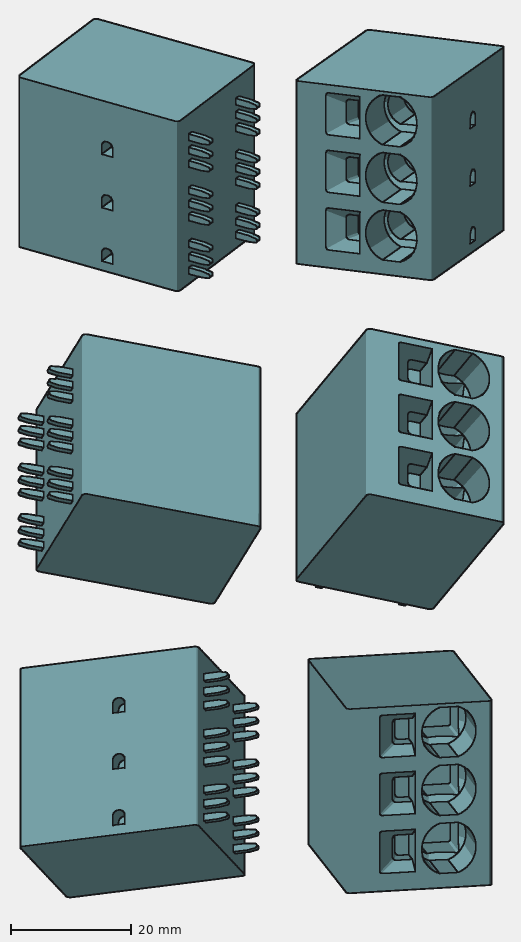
import cadquery as cq
import math

BODY_LENGTH = 31.3
BODY_WIDTH = 24.7
BODY_HEIGHT = 31.8
EDGE_RADIUS = 0.7

POLE_COUNT = 3
POLE_PITCH = 10.0
FIRST_POLE_Z = 5.0

OVERALL_LENGTH = 35.4
PINS_PER_POLE = 3
PIN_PITCH = 2.5
PIN_ROWS_Y = (3.8, 18.8)
PIN_HEIGHT = 1.2
PIN_THICKNESS = 1.0
PIN_TAPER_LENGTH = 1.6
PIN_TIP_LENGTH = 0.5
PIN_EMBED = 1.0
PIN_SHOULDER_HEIGHT = 0.85

BORE_OFFSET_Z = 1.85
BORE_Y = 7.4
BORE_RADIUS = 4.6
BORE_HEIGHT = 8.65
BORE_DEPTH = 8.0
CONE_END_RADIUS = 3.0
CONE_LENGTH = 1.2
SOCKET_DEPTH = 15.0
SOCKET_ROUND_RADIUS = 3.5
SOCKET_HIGH_Y = 11.5
SOCKET_LOW_Y = 3.95
SOCKET_HEIGHT = 6.5
SOCKET_CORNER = 0.4

POCKET_OFFSET_Z = 1.75
POCKET_LOW_Y = 13.1
POCKET_MOUTH_HIGH_Y = 19.15
POCKET_STEP_HIGH_Y = 16.5
POCKET_FLOOR_HIGH_Y = 15.5
POCKET_MOUTH_HEIGHT = 7.3
POCKET_FLOOR_HEIGHT = 4.35
POCKET_STEP_DEPTH = 2.3
POCKET_DEPTH = 5.2
POCKET_MOUTH_CORNER = 0.5
POCKET_STEP_CORNER = 0.7
POCKET_FLOOR_CORNER = 0.75

WINDOW_X = 17.45
WINDOW_WIDTH = 2.1
WINDOW_HEIGHT = 2.6
WINDOW_BASE_OFFSET_Z = -3.25
WINDOW_DEPTH = 3.0

TOUCH_TOLERANCE = 1e-6


def make_body():
    block = cq.Workplane("XY").box(BODY_LENGTH, BODY_WIDTH, BODY_HEIGHT, centered=False)
    return block.edges("|Z").fillet(EDGE_RADIUS)


def make_pin(y, z):
    """Flat pin with a slightly tapered, rounded end."""
    half = PIN_HEIGHT / 2
    shoulder = PIN_SHOULDER_HEIGHT / 2
    taper_x = OVERALL_LENGTH - PIN_TAPER_LENGTH
    shoulder_x = OVERALL_LENGTH - PIN_TIP_LENGTH
    root_x = BODY_LENGTH - PIN_EMBED
    return (
        cq.Workplane("XZ", origin=(0, y + PIN_THICKNESS / 2, z))
        .moveTo(root_x, -half)
        .lineTo(taper_x, -half)
        .lineTo(shoulder_x, -shoulder)
        .threePointArc((OVERALL_LENGTH, 0), (shoulder_x, shoulder))
        .lineTo(taper_x, half)
        .lineTo(root_x, half)
        .close()
        .extrude(PIN_THICKNESS)
    )


def arc_edge(x, center, radius, start, end):
    """Arc in a plane of constant X, between two angles measured from +Y toward +Z."""
    def point(angle):
        return cq.Vector(x, center[0] + radius * math.cos(angle), center[1] + radius * math.sin(angle))

    return cq.Edge.makeThreePointArc(point(start), point((start + end) / 2), point(end))


def ruled_solid(start_edges, end_edges):
    wires = [cq.Wire.assembleEdges(edges) for edges in (start_edges, end_edges)]
    return cq.Solid.makeLoft(wires, True)


def close_with_lines(arcs):
    """Join consecutive arcs with straight edges where they do not already touch."""
    edges = []
    for arc, following in zip(arcs, arcs[1:] + arcs[:1]):
        edges.append(arc)
        gap_start = arc.endPoint()
        gap_end = following.startPoint()
        if (gap_end - gap_start).Length > TOUCH_TOLERANCE:
            edges.append(cq.Edge.makeLine(gap_start, gap_end))
    return edges


def make_socket(z):
    """D-shaped prism: round on the high-Y side, flat with rounded corners on the low-Y side."""
    round_center = (SOCKET_HIGH_Y - SOCKET_ROUND_RADIUS, z)
    round_angle = math.asin(SOCKET_HEIGHT / 2 / SOCKET_ROUND_RADIUS)
    corner_y = SOCKET_LOW_Y + SOCKET_CORNER
    corner_rise = SOCKET_HEIGHT / 2 - SOCKET_CORNER
    upper_corner = (corner_y, z + corner_rise)
    lower_corner = (corner_y, z - corner_rise)
    outline = close_with_lines([
        arc_edge(BORE_DEPTH, round_center, SOCKET_ROUND_RADIUS, -round_angle, round_angle),
        arc_edge(BORE_DEPTH, upper_corner, SOCKET_CORNER, math.pi / 2, math.pi),
        arc_edge(BORE_DEPTH, lower_corner, SOCKET_CORNER, math.pi, math.pi * 3 / 2),
    ])
    wire = cq.Wire.assembleEdges(outline)
    length = cq.Vector(SOCKET_DEPTH - BORE_DEPTH, 0, 0)
    return cq.Workplane(cq.Solid.extrudeLinear(wire, [], length))


def make_wire_entry(z):
    axis = cq.Workplane("YZ", origin=(0, BORE_Y, z))
    cone_start = cq.Vector(BORE_DEPTH, BORE_Y, z)
    cone = cq.Solid.makeCone(BORE_RADIUS, CONE_END_RADIUS, CONE_LENGTH, cone_start, cq.Vector(1, 0, 0))
    flats = axis.rect(2 * BORE_RADIUS, BORE_HEIGHT).extrude(BORE_DEPTH + CONE_LENGTH)
    bore = axis.circle(BORE_RADIUS).extrude(BORE_DEPTH).union(cq.Workplane(cone))
    return bore.intersect(flats).union(make_socket(z))


def pocket_section(x, z, high_y, height, corner):
    """Rectangle with its two high-Y corners rounded."""
    half = height / 2
    lower = arc_edge(x, (high_y - corner, z - half + corner), corner, -math.pi / 2, 0)
    upper = arc_edge(x, (high_y - corner, z + half - corner), corner, 0, math.pi / 2)
    top_corner = cq.Vector(x, POCKET_LOW_Y, z + half)
    bottom_corner = cq.Vector(x, POCKET_LOW_Y, z - half)
    return close_with_lines([lower, upper, cq.Edge.makeLine(top_corner, bottom_corner)])


def make_pocket(z):
    mouth = pocket_section(0, z, POCKET_MOUTH_HIGH_Y, POCKET_MOUTH_HEIGHT, POCKET_MOUTH_CORNER)
    step = pocket_section(
        POCKET_STEP_DEPTH, z, POCKET_STEP_HIGH_Y, POCKET_FLOOR_HEIGHT, POCKET_STEP_CORNER
    )
    floor = pocket_section(
        POCKET_DEPTH, z, POCKET_FLOOR_HIGH_Y, POCKET_FLOOR_HEIGHT, POCKET_FLOOR_CORNER
    )
    return ruled_solid(mouth, step).fuse(ruled_solid(step, floor))


def make_window(sill_z):
    half = WINDOW_WIDTH / 2
    spring_z = WINDOW_HEIGHT - half
    return (
        cq.Workplane("XZ", origin=(WINDOW_X, WINDOW_DEPTH, sill_z))
        .moveTo(-half, 0)
        .lineTo(half, 0)
        .lineTo(half, spring_z)
        .threePointArc((0, WINDOW_HEIGHT), (-half, spring_z))
        .close()
        .extrude(WINDOW_DEPTH)
    )


result = make_body()
for pole in range(POLE_COUNT):
    pole_z = FIRST_POLE_Z + pole * POLE_PITCH
    result = result.cut(make_wire_entry(pole_z + BORE_OFFSET_Z))
    result = result.cut(cq.Workplane(make_pocket(pole_z + POCKET_OFFSET_Z)))
    result = result.cut(make_window(pole_z + WINDOW_BASE_OFFSET_Z))
    for pin in range(PINS_PER_POLE):
        pin_z = pole_z + (pin - (PINS_PER_POLE - 1) / 2) * PIN_PITCH
        for row_y in PIN_ROWS_Y:
            result = result.union(make_pin(row_y, pin_z))